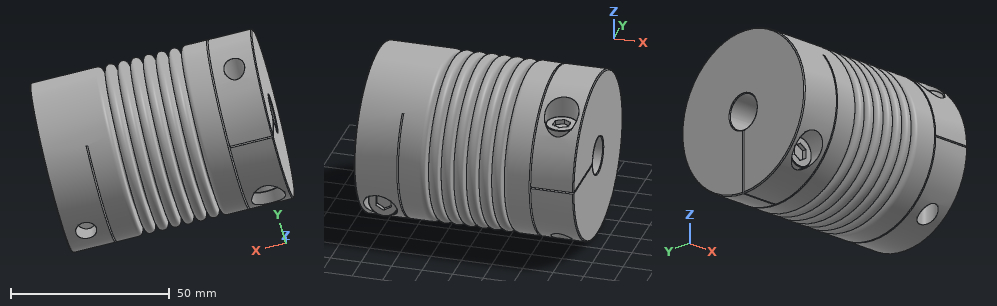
import cadquery as cq
import math

LENGTH = 72.0
OUTER_RADIUS = 27.5
BORE_RADIUS = 6.05
EDGE_CHAMFER = 0.35
BORE_CHAMFER = 0.3

HUB_LENGTH = 21.6
CLAMP_LENGTH = 14.3
SLOT_WIDTH = 0.5
SLIT_WIDTH = 0.5
LEFT_SLOT_REACH = 17.0
RIGHT_SLOT_REACH = 10.9

FULL_CONVOLUTIONS = 6
BELLOWS_LENGTH = LENGTH - 2 * HUB_LENGTH
TIP_RADIUS = 1.5
TIP_FLAT = 0.15
ROOT_RADIUS = 20.0
PITCH = (BELLOWS_LENGTH + TIP_FLAT) / (FULL_CONVOLUTIONS + 1)
GROOVE_RADIUS = (PITCH - TIP_FLAT) / 2 - TIP_RADIUS

SCREW_OFFSET = 16.7
SCREW_INSET = 7.05
SHANK_RADIUS = 3.3
SHANK_LENGTH = 20.0
HEAD_RADIUS = 5.05
HEAD_HEIGHT = 6.0
HEAD_TOP = 18.4
HEAD_SEAT = HEAD_TOP - HEAD_HEIGHT
HEAD_CHAMFER = 0.2
SOCKET_FLATS = 5.05
SOCKET_DEPTH = 1.5
SOCKET_TURN = 30
COUNTERBORE_RADIUS = 5.4


def along_x(radius, length, x_start):
    """Cylinder on the coupling axis, starting at x_start."""
    return cq.Workplane("YZ").workplane(offset=x_start).circle(radius).extrude(length)


def make_hub():
    """Plain left hub blank with a chamfered outer end edge."""
    hub = along_x(OUTER_RADIUS, HUB_LENGTH, -LENGTH / 2)
    return hub.faces("<X").chamfer(EDGE_CHAMFER)


def make_bellows():
    """Wavy sleeve: rounded convolutions with rounded grooves between them."""
    tip_shoulder = OUTER_RADIUS - TIP_RADIUS
    groove_bottom = ROOT_RADIUS + GROOVE_RADIUS
    x_start = -BELLOWS_LENGTH / 2
    profile = cq.Workplane("XY").moveTo(x_start, 0)
    for index in range(FULL_CONVOLUTIONS + 1):
        land_end = x_start + index * PITCH
        groove_left = land_end + TIP_RADIUS
        groove_center = groove_left + GROOVE_RADIUS
        groove_right = groove_center + GROOVE_RADIUS
        profile = (
            profile
            .lineTo(land_end, OUTER_RADIUS)
            .radiusArc((groove_left, tip_shoulder), TIP_RADIUS)
            .lineTo(groove_left, groove_bottom)
            .threePointArc((groove_center, ROOT_RADIUS), (groove_right, groove_bottom))
            .lineTo(groove_right, tip_shoulder)
            .radiusArc((groove_right + TIP_RADIUS, OUTER_RADIUS), TIP_RADIUS)
        )
    profile = profile.lineTo(-x_start, 0).close()
    return profile.revolve(360, (0, 0, 0), (1, 0, 0))


def make_bore():
    """Through bore, opened by a small chamfer at both ends."""
    bore = along_x(BORE_RADIUS, LENGTH, -LENGTH / 2)
    mouth_radius = BORE_RADIUS + BORE_CHAMFER
    mouth = cq.Workplane(cq.Solid.makeCone(
        mouth_radius, BORE_RADIUS, BORE_CHAMFER,
        pnt=cq.Vector(-LENGTH / 2, 0, 0), dir=cq.Vector(1, 0, 0),
    ))
    return bore.union(mouth).union(mouth.mirror("YZ"))


def make_clamp_cut(slot_reach):
    """Cross slot, radial slit and screw hole of the left hub, with the screw along -Y."""
    x_end = -LENGTH / 2
    slot_height = OUTER_RADIUS + slot_reach
    slot = cq.Workplane("XY").box(SLOT_WIDTH, 2 * OUTER_RADIUS, slot_height)
    slot = slot.translate((x_end + CLAMP_LENGTH, 0, slot_reach - slot_height / 2))
    slit = cq.Workplane("XY").box(CLAMP_LENGTH, SLIT_WIDTH, OUTER_RADIUS, centered=(False, True, False))
    slit = slit.translate((x_end, 0, -OUTER_RADIUS))
    shank_hole = cq.Workplane("XY").circle(SHANK_RADIUS).extrude(2 * OUTER_RADIUS)
    shank_hole = shank_hole.translate((0, 0, -OUTER_RADIUS))
    counterbore = cq.Workplane("XY").workplane(offset=HEAD_SEAT).circle(COUNTERBORE_RADIUS)
    screw_hole = shank_hole.union(counterbore.extrude(OUTER_RADIUS))
    return slot.union(slit).union(place_on_left(screw_hole))


def make_screw():
    """Socket head cap screw along +Z, with the slit plane at z = 0."""
    head = cq.Workplane("XY").workplane(offset=HEAD_SEAT).circle(HEAD_RADIUS).extrude(HEAD_HEIGHT)
    head = head.faces(">Z").edges().chamfer(HEAD_CHAMFER)
    shank = cq.Workplane("XY").workplane(offset=HEAD_SEAT).circle(SHANK_RADIUS).extrude(-SHANK_LENGTH)
    socket_corners = SOCKET_FLATS / math.cos(math.pi / 6)
    socket = cq.Workplane("XY").workplane(offset=HEAD_TOP).polygon(6, socket_corners).extrude(-SOCKET_DEPTH)
    socket = socket.rotate((0, 0, 0), (0, 0, 1), SOCKET_TURN)
    return head.union(shank).cut(socket)


def place_on_left(screw_shape):
    """Turn a screw-aligned shape to point along -Y and move it to the left hub."""
    turned = screw_shape.rotate((0, 0, 0), (1, 0, 0), 90)
    return turned.translate((SCREW_INSET - LENGTH / 2, 0, -SCREW_OFFSET))


def move_to_right(left_shape):
    """Carry a left hub feature to the right hub, swapping its Y and Z directions."""
    return left_shape.mirror("YZ").rotate((0, 0, 0), (1, 0, 0), -90)


def make_coupling():
    """Both hubs joined by the bellows, with bore and clamp cuts."""
    hub = make_hub()
    coupling = make_bellows().union(hub).union(hub.mirror("YZ"))
    coupling = coupling.cut(make_bore())
    coupling = coupling.cut(make_clamp_cut(LEFT_SLOT_REACH))
    return coupling.cut(move_to_right(make_clamp_cut(RIGHT_SLOT_REACH)))


coupling = make_coupling().solids()
left_screw = place_on_left(make_screw()).solids()
right_screw = move_to_right(left_screw)

result = cq.Compound.makeCompound([coupling.val(), left_screw.val(), right_screw.val()])